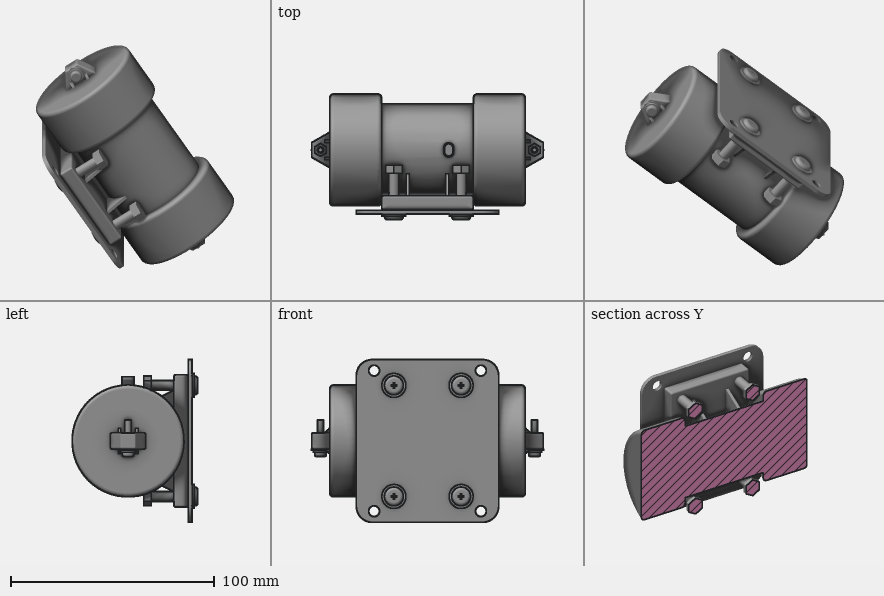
import cadquery as cq
import math

drum_radius = 22.75
cap_radius = 27.5
cap_inner_x = 22.5
cap_length = 25.5
cap_outer_x = cap_inner_x + cap_length
cap_edge_radius = 2.0

foot_width = 2 * cap_inner_x
foot_height = 65.0
foot_thickness = 7.0
foot_back_y = -22.5
foot_front_y = foot_back_y - foot_thickness
foot_edge_radius = 1.0
pedestal_back_y = -21.0
pedestal_half_height = math.sqrt(drum_radius**2 - pedestal_back_y**2)

web_spacing = 19.5
web_thickness = 1.5
web_foot_z = 24.9
web_drum_y = -11.6
web_drum_z = math.sqrt(drum_radius**2 - web_drum_y**2)

plate_width = 70.0
plate_height = 80.0
plate_thickness = 2.0
plate_front_y = foot_front_y - plate_thickness
plate_corner_radius = 8.0
plate_hole_diameter = 5.2
plate_hole_spacing_x = 52.4
plate_hole_spacing_z = 69.0

bolt_spacing_x = 33.0
bolt_spacing_z = 54.5
bolt_diameter = 5.0
washer_radius = 5.9
washer_thickness = 1.0
head_radius = 4.65
head_height = 1.83
head_edge_radius = 1.7
cross_length = 2.7
cross_width = 0.8
cross_depth = 1.0
nut_across_flats = 8.0
nut_thickness = 3.9
nut_back_y = -7.6

peg_x = 10.4
peg_length = 6.0
peg_width = 4.0
peg_top_z = 31.5
recess_clearance = 0.5
recess_floor_z = drum_radius - 1.5

lug_tip_x = 56.9
lug_root_half_width = 8.7
lug_tip_half_width = 3.6
lug_half_height = 4.0
lug_corner_radius = 0.6
lug_edge_radius = 0.9
rib_center_y = 4.2
rib_thickness = 1.4
rib_length = 2.5
rib_height = 2.3

screw_x = 52.5
pin_diameter = 3.0
pin_top_z = 10.5
pin_chamfer = 0.4
pocket_across_flats = 5.5
pocket_depth = 0.3
hex_washer_corners = 9.1
hex_washer_thickness = 0.6
round_washer_diameter = 7.2
round_washer_thickness = 1.0
screw_head_diameter = 5.8
screw_head_height = 2.1
screw_head_edge_radius = 1.0

bolt_centers = [
    (sx * bolt_spacing_x / 2, sz * bolt_spacing_z / 2) for sx in (-1, 1) for sz in (-1, 1)
]


def hexagon_corners(across_flats):
    """Corner-to-corner size of a hexagon, from its size across flats."""
    return across_flats / math.cos(math.pi / 6)


def plane_across_axis(x):
    """Plane square to the drum axis at the given X, whose own x direction points up."""
    return cq.Workplane(cq.Plane(origin=(x, 0, 0), xDir=(0, 0, 1), normal=(1, 0, 0)))


def plane_facing_plate(y):
    """XZ plane at the given Y, whose normal points to -Y."""
    return cq.Workplane("XZ", origin=(0, y, 0))


def make_cap(side):
    """Round end cap on the given side of the drum, with both rims rounded."""
    start_x = cap_inner_x if side > 0 else -cap_outer_x
    cap = plane_across_axis(start_x).circle(cap_radius).extrude(cap_length)
    return cap.edges().fillet(cap_edge_radius)


def make_foot():
    """Rounded block in front of the drum, with the pedestal that joins it to the drum."""
    block = plane_facing_plate(foot_back_y).rect(foot_width, foot_height).extrude(foot_thickness)
    block = block.edges().fillet(foot_edge_radius)
    pedestal_depth = pedestal_back_y - foot_front_y - foot_edge_radius
    pedestal = (
        plane_facing_plate(pedestal_back_y)
        .rect(foot_width, 2 * pedestal_half_height)
        .extrude(pedestal_depth)
    )
    return block.union(pedestal)


def make_web(center_x):
    """Gusset web that tapers from the foot to the drum, above and below the axis."""
    return (
        cq.Workplane("YZ", origin=(center_x, 0, 0))
        .moveTo(foot_back_y - foot_edge_radius, web_foot_z)
        .lineTo(foot_back_y, web_foot_z)
        .lineTo(web_drum_y, web_drum_z)
        .lineTo(web_drum_y, -web_drum_z)
        .lineTo(foot_back_y, -web_foot_z)
        .lineTo(foot_back_y - foot_edge_radius, -web_foot_z)
        .close()
        .extrude(web_thickness / 2, both=True)
    )


def make_bolts():
    """Four bolts with nut, washer and domed cross-recess head."""
    washer_front_y = plate_front_y - washer_thickness
    head_front_y = washer_front_y - head_height

    nut = (
        plane_facing_plate(nut_back_y)
        .polygon(6, hexagon_corners(nut_across_flats))
        .extrude(nut_thickness)
        .rotate((0, 0, 0), (0, 1, 0), 90)
    )
    shank = plane_facing_plate(nut_back_y).circle(bolt_diameter / 2).extrude(nut_back_y - plate_front_y)
    washer = plane_facing_plate(plate_front_y).circle(washer_radius).extrude(washer_thickness)
    head = plane_facing_plate(washer_front_y).circle(head_radius).extrude(head_height)
    head = head.faces("<Y").edges().fillet(head_edge_radius)
    cross = (
        plane_facing_plate(head_front_y)
        .rect(cross_length, cross_width)
        .extrude(-cross_depth)
        .union(plane_facing_plate(head_front_y).rect(cross_width, cross_length).extrude(-cross_depth))
    )
    bolt = nut.union(shank).union(washer).union(head).cut(cross)
    return [bolt.translate((x, 0, z)) for x, z in bolt_centers]


def slot_along_y(z, length, width):
    """Slot outline on top of the drum, with its long side along Y."""
    return cq.Workplane("XY", origin=(peg_x, 0, z)).slot2D(length, width, 90)


def make_rib(y, side_z):
    """Triangular rib between the cap end and the upper or lower face of the lug."""
    return (
        cq.Workplane("XZ", origin=(0, y, 0))
        .moveTo(cap_outer_x - cap_edge_radius, 0)
        .lineTo(cap_outer_x + rib_length, 0)
        .lineTo(cap_outer_x + rib_length, side_z * lug_half_height)
        .lineTo(cap_outer_x, side_z * (lug_half_height + rib_height))
        .lineTo(cap_outer_x - cap_edge_radius, side_z * (lug_half_height + rib_height))
        .close()
        .extrude(rib_thickness / 2, both=True)
    )


def make_terminal():
    """Lug on the +X cap end, with its ribs and terminal screw."""
    lug = (
        cq.Workplane("XY", origin=(0, 0, -lug_half_height))
        .moveTo(cap_outer_x, -lug_root_half_width)
        .lineTo(lug_tip_x, -lug_tip_half_width)
        .lineTo(lug_tip_x, lug_tip_half_width)
        .lineTo(cap_outer_x, lug_root_half_width)
        .close()
        .extrude(2 * lug_half_height)
    )
    lug = lug.edges("|Z and >X").fillet(lug_corner_radius)
    lug = lug.faces("<Z or >Z").edges("not <X").fillet(lug_edge_radius)

    pocket = (
        cq.Workplane("XY", origin=(screw_x, 0, lug_half_height))
        .polygon(6, hexagon_corners(pocket_across_flats))
        .extrude(-pocket_depth)
        .rotate((screw_x, 0, 0), (screw_x, 0, 1), 90)
    )
    lug = lug.cut(pocket)

    for y in (-rib_center_y, rib_center_y):
        for side_z in (-1, 1):
            lug = lug.union(make_rib(y, side_z))

    pin = cq.Workplane("XY", origin=(screw_x, 0, 0)).circle(pin_diameter / 2).extrude(pin_top_z)
    pin = pin.faces(">Z").chamfer(pin_chamfer)

    hex_washer_bottom = -lug_half_height - hex_washer_thickness
    hex_washer = (
        cq.Workplane("XY", origin=(screw_x, 0, hex_washer_bottom))
        .polygon(6, hex_washer_corners)
        .extrude(hex_washer_thickness)
    )
    round_washer = (
        cq.Workplane("XY", origin=(screw_x, 0, hex_washer_bottom))
        .circle(round_washer_diameter / 2)
        .extrude(-round_washer_thickness)
    )
    screw_head = (
        cq.Workplane("XY", origin=(screw_x, 0, hex_washer_bottom - round_washer_thickness))
        .circle(screw_head_diameter / 2)
        .extrude(-screw_head_height)
    )
    screw_head = screw_head.faces("<Z").edges().fillet(screw_head_edge_radius)
    return lug.union(pin).union(hex_washer).union(round_washer).union(screw_head)


def make_motor():
    """Drum with caps, foot, webs, bolts, peg and terminals, as one solid."""
    motor = plane_across_axis(-cap_inner_x).circle(drum_radius).extrude(2 * cap_inner_x)

    recess = slot_along_y(
        recess_floor_z, peg_length + 2 * recess_clearance, peg_width + 2 * recess_clearance
    ).extrude(drum_radius - recess_floor_z)
    peg = slot_along_y(0, peg_length, peg_width).extrude(peg_top_z)
    motor = motor.cut(recess).union(peg)

    motor = motor.union(make_foot())
    for x in (-web_spacing / 2, web_spacing / 2):
        motor = motor.union(make_web(x))

    terminal = make_terminal()
    for side in (-1, 1):
        motor = motor.union(make_cap(side))
        motor = motor.union(terminal if side > 0 else terminal.mirror("YZ"))

    for bolt in make_bolts():
        motor = motor.union(bolt)
    return motor


def make_plate():
    """Mounting plate with rounded corners, four corner holes and four bolt holes."""
    plate = plane_facing_plate(foot_front_y).rect(plate_width, plate_height).extrude(plate_thickness)
    plate = plate.edges("|Y").fillet(plate_corner_radius)
    corner_holes = (
        plane_facing_plate(foot_front_y)
        .rect(plate_hole_spacing_x, plate_hole_spacing_z, forConstruction=True)
        .vertices()
        .circle(plate_hole_diameter / 2)
        .extrude(plate_thickness)
    )
    bolt_holes = (
        plane_facing_plate(foot_front_y)
        .pushPoints(bolt_centers)
        .circle(bolt_diameter / 2)
        .extrude(plate_thickness)
    )
    return plate.cut(corner_holes).cut(bolt_holes)


motor = make_motor()
plate = make_plate()

result = cq.Compound.makeCompound([motor.solids().val(), plate.solids().val()])